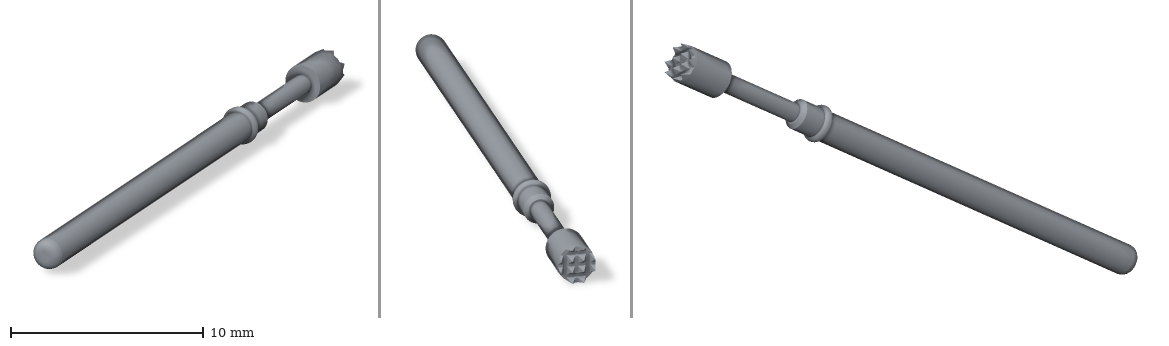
import cadquery as cq
import math

length = 32.3
y_tip = length / 2
y_tail = -length / 2

head_radius = 1.017
head_length = 2.97
stem_radius = 0.52
stem_length = 5.33
y_head_base = y_tip - head_length
y_mouth = y_head_base - stem_length

barrel_radius = 0.825
mouth_radius = 0.6
mouth_taper_length = 0.23
tail_fillet = 0.5
ring_radius = 1.017
ring_half_width = 0.25
y_ring = 6.1

crown_length = 0.52
crown_tip_radius = 0.97
inner_peak = 0.307
outer_peak = math.sqrt(crown_tip_radius**2 - inner_peak**2)
groove_floor_width = 0.15
middle_groove_depth = 0.35
side_groove_depth = 0.45
groove_length = 3 * head_radius


def make_barrel():
    profile = (
        cq.Workplane("XY")
        .moveTo(0, y_tail)
        .lineTo(barrel_radius, y_tail)
        .lineTo(barrel_radius, y_ring - ring_half_width)
        .threePointArc((ring_radius, y_ring), (barrel_radius, y_ring + ring_half_width))
        .lineTo(barrel_radius, y_mouth - mouth_taper_length)
        .lineTo(mouth_radius, y_mouth)
        .lineTo(0, y_mouth)
        .close()
    )
    barrel = profile.revolve(360, (0, 0, 0), (0, 1, 0))
    return barrel.faces("<Y").edges().fillet(tail_fillet)


def make_stem():
    return cq.Workplane("XZ", origin=(0, y_head_base, 0)).circle(stem_radius).extrude(stem_length)


def make_head():
    """Cylinder whose crown end tapers to the rim that carries the outer peaks."""
    y_crown_base = y_tip - crown_length
    profile = [
        (0, y_head_base),
        (head_radius, y_head_base),
        (head_radius, y_crown_base),
        (crown_tip_radius, y_tip),
        (0, y_tip),
    ]
    return cq.Workplane("XY").polyline(profile).close().revolve(360, (0, 0, 0), (0, 1, 0))


def make_groove(left_peak, right_peak, depth):
    """Flat-bottomed V groove along Z, open at the tip plane between two neighbouring peaks."""
    center = (left_peak + right_peak) / 2
    half_floor = groove_floor_width / 2
    section = [
        (left_peak, y_tip),
        (center - half_floor, y_tip - depth),
        (center + half_floor, y_tip - depth),
        (right_peak, y_tip),
    ]
    return cq.Workplane("XY").polyline(section).close().extrude(groove_length / 2, both=True)


def cut_crown(head):
    grooves = [
        make_groove(-inner_peak, inner_peak, middle_groove_depth),
        make_groove(inner_peak, outer_peak, side_groove_depth),
        make_groove(-outer_peak, -inner_peak, side_groove_depth),
    ]
    for groove in grooves:
        for angle in (0, 90):
            head = head.cut(groove.rotate((0, 0, 0), (0, 1, 0), angle))
    return head


head = cut_crown(make_head())
result = make_barrel().union(make_stem()).union(head)